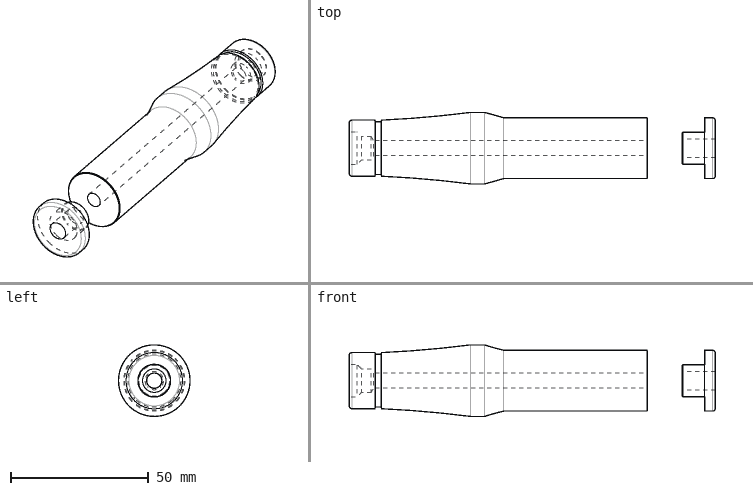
import cadquery as cq
import math

TOTAL_LENGTH = 132.9

EDGE_BREAK = 0.3

TIP_DIAMETER = 20.5
TIP_ROUND = 1.0
GROOVE_START = 9.3
GROOVE_END = 11.8
GROOVE_DIAMETER = 19.3
BELLY_START = 44.0
BELLY_END = 49.2
BELLY_DIAMETER = 26.0
FLARE_HOLLOW = 0.33
TUBE_START = 56.1
TUBE_DIAMETER = 22.2
HANDLE_LENGTH = 108.3

MOUTH_DIAMETER = 11.7
MOUTH_BREAK = 0.1
SEAT_DIAMETER = 8.5
COUNTERSINK_START = 2.9
COUNTERSINK_END = COUNTERSINK_START + (MOUTH_DIAMETER - SEAT_DIAMETER) / 2
SEAT_END = 8.0
BORE_DIAMETER = 5.5
DRILL_POINT_ANGLE = 118.0
BORE_START = SEAT_END + (SEAT_DIAMETER - BORE_DIAMETER) / 2 / math.tan(math.radians(DRILL_POINT_ANGLE / 2))

STEM_START = 120.8
STEM_DIAMETER = 11.7
FLANGE_START = 129.0
FLANGE_DIAMETER = TUBE_DIAMETER
FLANGE_ROUND = 1.0
PLUG_BORE_DIAMETER = 6.6


def revolve_about_x(profile):
    """Turn a closed XY profile a full circle about the X axis."""
    return profile.close().revolve(360, (0, 0, 0), (1, 0, 0))


def make_handle():
    tip_radius = TIP_DIAMETER / 2
    belly_radius = BELLY_DIAMETER / 2
    tube_radius = TUBE_DIAMETER / 2
    flare_middle = (
        (GROOVE_END + BELLY_START) / 2,
        (tip_radius + belly_radius) / 2 - FLARE_HOLLOW,
    )
    profile = (
        cq.Workplane("XY")
        .moveTo(MOUTH_BREAK, MOUTH_DIAMETER / 2)
        .lineTo(0, MOUTH_DIAMETER / 2 + MOUTH_BREAK)
        .lineTo(0, tip_radius - TIP_ROUND)
        .tangentArcPoint((TIP_ROUND, tip_radius), relative=False)
        .lineTo(GROOVE_START, tip_radius)
        .lineTo(GROOVE_START + EDGE_BREAK, GROOVE_DIAMETER / 2)
        .lineTo(GROOVE_END - EDGE_BREAK, GROOVE_DIAMETER / 2)
        .lineTo(GROOVE_END, tip_radius)
        .threePointArc(flare_middle, (BELLY_START, belly_radius))
        .lineTo(BELLY_END, belly_radius)
        .lineTo(TUBE_START, tube_radius)
        .lineTo(HANDLE_LENGTH - EDGE_BREAK, tube_radius)
        .lineTo(HANDLE_LENGTH, tube_radius - EDGE_BREAK)
        .lineTo(HANDLE_LENGTH, BORE_DIAMETER / 2)
        .lineTo(BORE_START, BORE_DIAMETER / 2)
        .lineTo(SEAT_END, SEAT_DIAMETER / 2)
        .lineTo(COUNTERSINK_END, SEAT_DIAMETER / 2)
        .lineTo(COUNTERSINK_START, MOUTH_DIAMETER / 2)
    )
    return revolve_about_x(profile)


def make_plug():
    flange_radius = FLANGE_DIAMETER / 2
    bore_radius = PLUG_BORE_DIAMETER / 2
    profile = (
        cq.Workplane("XY")
        .moveTo(STEM_START, bore_radius)
        .lineTo(STEM_START, STEM_DIAMETER / 2 - EDGE_BREAK)
        .lineTo(STEM_START + EDGE_BREAK, STEM_DIAMETER / 2)
        .lineTo(FLANGE_START, STEM_DIAMETER / 2)
        .lineTo(FLANGE_START, flange_radius)
        .lineTo(TOTAL_LENGTH - FLANGE_ROUND, flange_radius)
        .tangentArcPoint((TOTAL_LENGTH, flange_radius - FLANGE_ROUND), relative=False)
        .lineTo(TOTAL_LENGTH, bore_radius)
    )
    return revolve_about_x(profile)


handle = make_handle()
plug = make_plug()

result = cq.Compound.makeCompound([handle.val(), plug.val()])